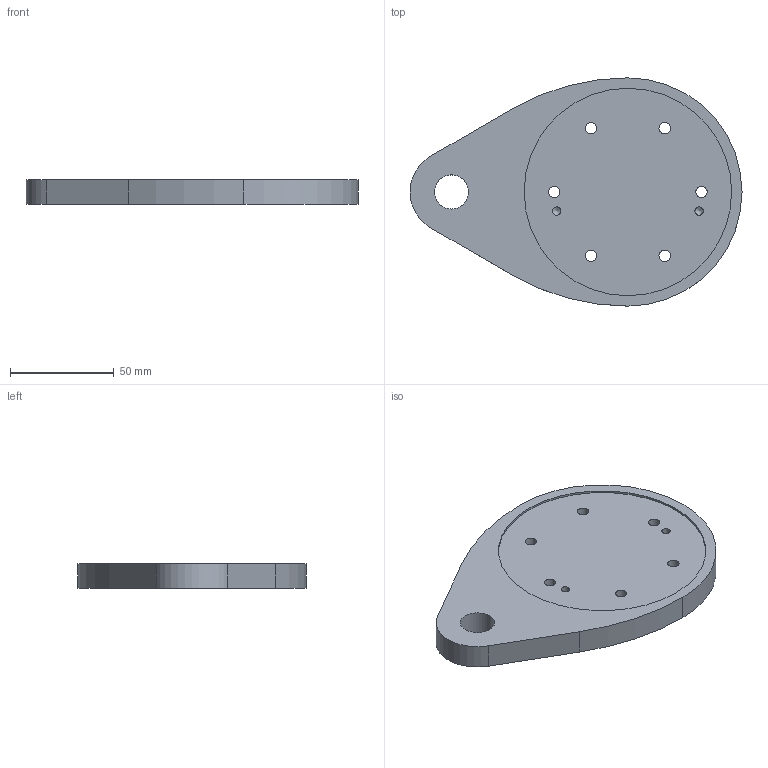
import cadquery as cq
import math

thickness = 12.0
head_radius = 55.0
pivot_radius = 20.0
pivot_distance = 85.0
taper_angle = math.radians(30.0)

pivot_hole_diameter = 16.5

recess_diameter = 100.0
recess_depth = 1.0

pitch_diameter = 71.0
bolt_hole_count = 6
bolt_hole_diameter = 5.5
pin_hole_diameter = 4.0
pin_hole_depth = 8.0
pin_offset_angle = 15.0
drill_point_angle = math.radians(118.0)

recess_floor = thickness - recess_depth


def make_plate():
    """Teardrop plate whose flanks are tangent to the pivot end and to the shoulder arcs."""
    slope_sin = math.sin(taper_angle)
    slope_cos = math.cos(taper_angle)

    flank_offset = pivot_distance * slope_sin + pivot_radius
    shoulder_radius = (flank_offset - head_radius * slope_cos) / (1 - slope_cos)
    shoulder_center_y = head_radius - shoulder_radius

    def on_shoulder(angle):
        x = -shoulder_radius * math.sin(angle)
        y = shoulder_center_y + shoulder_radius * math.cos(angle)
        return x, y

    def mirrored(point):
        return point[0], -point[1]

    pivot_tangent = (-pivot_distance - pivot_radius * slope_sin, pivot_radius * slope_cos)
    pivot_tip = (-pivot_distance - pivot_radius, 0)
    shoulder_start = on_shoulder(taper_angle)
    shoulder_middle = on_shoulder(taper_angle / 2)
    head_top = (0, head_radius)

    return (
        cq.Workplane("XY")
        .moveTo(*pivot_tangent)
        .lineTo(*shoulder_start)
        .threePointArc(shoulder_middle, head_top)
        .threePointArc((head_radius, 0), mirrored(head_top))
        .threePointArc(mirrored(shoulder_middle), mirrored(shoulder_start))
        .lineTo(*mirrored(pivot_tangent))
        .threePointArc(pivot_tip, pivot_tangent)
        .close()
        .extrude(thickness)
    )


def make_recess():
    return cq.Workplane("XY", origin=(0, 0, recess_floor)).circle(recess_diameter / 2).extrude(recess_depth)


def make_pivot_hole():
    return cq.Workplane("XY").center(-pivot_distance, 0).circle(pivot_hole_diameter / 2).extrude(thickness)


def make_bolt_holes():
    return (
        cq.Workplane("XY")
        .polarArray(pitch_diameter / 2, 0, 360, bolt_hole_count)
        .circle(bolt_hole_diameter / 2)
        .extrude(thickness)
    )


def make_pin_hole(angle_degrees):
    """Blind drilled hole with a conical bottom, at the given angle on the pitch circle."""
    radius = pin_hole_diameter / 2
    shoulder_z = recess_floor - pin_hole_depth
    point_z = shoulder_z - radius / math.tan(drill_point_angle / 2)
    return (
        cq.Workplane("XZ")
        .moveTo(0, recess_floor)
        .lineTo(radius, recess_floor)
        .lineTo(radius, shoulder_z)
        .lineTo(0, point_z)
        .close()
        .revolve(360, (0, 0), (0, 1))
        .translate((pitch_diameter / 2, 0, 0))
        .rotate((0, 0, 0), (0, 0, 1), angle_degrees)
    )


result = make_plate().cut(make_recess()).cut(make_pivot_hole()).cut(make_bolt_holes())
for pin_angle in (-pin_offset_angle, 180 + pin_offset_angle):
    result = result.cut(make_pin_hole(pin_angle))